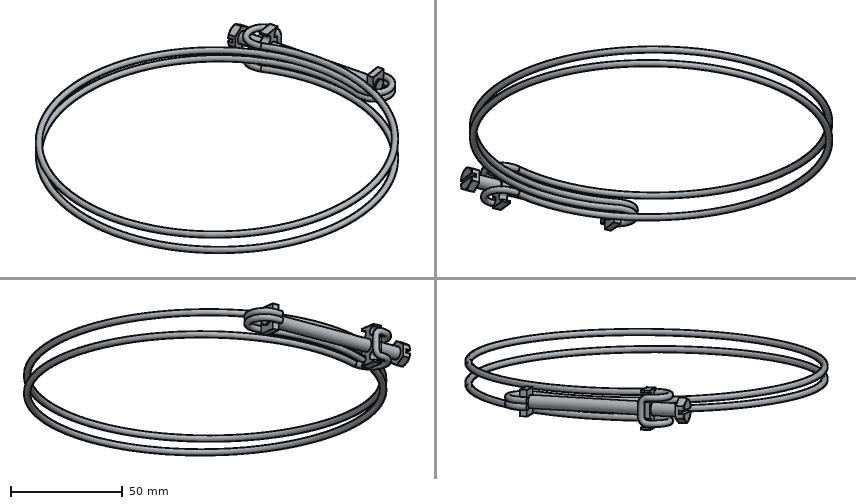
import cadquery as cq
import math


wire_radius = 1.51
coil_diameter = 163.0
overall_depth = 173.5
coil_radius = coil_diameter / 2 - wire_radius
joint_x = 26.0
joint_y = math.sqrt(coil_radius**2 - joint_x**2)
joint_angle = math.degrees(math.atan2(joint_y, joint_x))
outer_wire_z = 5.9
inner_wire_z = wire_radius

hook_top_y = overall_depth - coil_diameter / 2 - wire_radius
elbow_radius = 7.0
elbow_start_x = joint_x + elbow_radius * joint_x / coil_radius
hook_bottom_y = joint_y - elbow_radius * (1 - joint_y / coil_radius)
hook_radius = (hook_top_y - hook_bottom_y) / 2
hook_middle_y = (hook_top_y + hook_bottom_y) / 2
left_hook_x = -30.0
right_hook_x = 30.2
right_wire_end_x = 26.7
bar_bend_radius = 3.0
bar_half_length = outer_wire_z - bar_bend_radius

screw_y = 84.8
screw_diameter = 6.0
screw_end_x = 31.2
head_left_x = -47.0
head_height = 4.0
head_across_flats = 10.0
slot_width = 1.5
slot_depth = 2.5
head_chamfer_angle = 30

plate_length = 8.7
plate_middle_y = 85.2
left_plate_x = -30.7
left_plate_thickness = 4.2
left_plate_height = 18.0
notch_width = 4.2
notch_depth = 2.8
right_plate_x = 27.2
right_plate_thickness = 3.3
right_plate_height = 12.1


def swept_wire(path, first_edge):
    """Round wire swept along a path, starting on the path's first edge."""
    start_plane = cq.Plane(origin=first_edge.startPoint(), normal=first_edge.tangentAt(0))
    return cq.Workplane(start_plane).circle(wire_radius).sweep(cq.Workplane(obj=path))


def hook_edges(centre_x, z, side):
    """Elbow, straight and half circle from the coil to the screw; side is -1 for left, 1 for right."""
    half_turn = math.radians(90 - joint_angle) / 2
    elbow = cq.Edge.makeThreePointArc(
        cq.Vector(side * joint_x, joint_y, z),
        cq.Vector(
            side * (elbow_start_x - elbow_radius * math.sin(half_turn)),
            hook_bottom_y + elbow_radius * (1 - math.cos(half_turn)),
            z,
        ),
        cq.Vector(side * elbow_start_x, hook_bottom_y, z),
    )
    arc = cq.Edge.makeThreePointArc(
        cq.Vector(centre_x, hook_bottom_y, z),
        cq.Vector(centre_x + side * hook_radius, hook_middle_y, z),
        cq.Vector(centre_x, hook_top_y, z),
    )
    return [elbow, cq.Edge.makeLine(elbow.endPoint(), arc.startPoint()), arc]


def bar_bend(level):
    """Quarter bend from a left hook into the cross bar; level is 1 for the upper hook, -1 for the lower."""
    bend_offset = bar_bend_radius * math.sin(math.radians(45))
    return cq.Edge.makeThreePointArc(
        cq.Vector(left_hook_x, hook_top_y, level * outer_wire_z),
        cq.Vector(left_hook_x + bend_offset, hook_top_y, level * (bar_half_length + bend_offset)),
        cq.Vector(left_hook_x + bar_bend_radius, hook_top_y, level * bar_half_length),
    )


def make_loop():
    """Left hook: one wire that hooks back at both levels and crosses over on top of the left plate."""
    upper_hook = hook_edges(left_hook_x, outer_wire_z, -1)
    lower_hook = hook_edges(left_hook_x, -outer_wire_z, -1)
    upper_bend = bar_bend(1)
    lower_bend = bar_bend(-1)
    cross_bar = cq.Edge.makeLine(upper_bend.endPoint(), lower_bend.endPoint())
    path = cq.Wire.assembleEdges([*upper_hook, upper_bend, cross_bar, lower_bend, *reversed(lower_hook)])
    return swept_wire(path, upper_hook[0])


def make_coil_turn():
    """Helical turn that climbs from the right joint past a full turn to the left joint."""
    sweep_angle = 360 + 180 - 2 * joint_angle
    rise = outer_wire_z - inner_wire_z
    helix = cq.Wire.makeHelix(rise * 360 / sweep_angle, rise, coil_radius)
    profile = cq.Workplane("XZ").center(coil_radius, 0).circle(wire_radius)
    turn = profile.sweep(cq.Workplane(obj=helix), isFrenet=True)
    return turn.rotate((0, 0, 0), (0, 0, 1), joint_angle).translate((0, 0, inner_wire_z))


def make_right_hook():
    """Hook that ends flush above the right plate."""
    hook = hook_edges(right_hook_x, inner_wire_z, 1)
    wire_end = cq.Vector(right_wire_end_x, hook_top_y, inner_wire_z)
    path = cq.Wire.assembleEdges([*hook, cq.Edge.makeLine(hook[-1].endPoint(), wire_end)])
    return swept_wire(path, hook[0])


def make_wire(level):
    """Coil turn with its right hook; level is 1 for the upper wire, -1 for its mirror image below."""
    wire = make_coil_turn().union(make_right_hook())
    return wire if level > 0 else wire.mirror("XY")


def make_screw():
    """Slotted hexagon-head screw whose head is coned back from its slotted face."""
    head = (
        cq.Workplane("YZ", origin=(head_left_x, screw_y, 0))
        .polygon(6, head_across_flats, circumscribed=True)
        .extrude(head_height)
    )
    chamfer_cone = (
        cq.Workplane("YZ", origin=(head_left_x, screw_y, 0))
        .circle(head_across_flats / 2)
        .extrude(head_height, taper=head_chamfer_angle - 90)
    )
    head = head.intersect(chamfer_cone)
    shank = (
        cq.Workplane("YZ", origin=(head_left_x + head_height, screw_y, 0))
        .circle(screw_diameter / 2)
        .extrude(screw_end_x - head_left_x - head_height)
    )
    slot = cq.Workplane().box(2 * slot_depth, 2 * head_across_flats, slot_width)
    return head.union(shank).cut(slot.translate((head_left_x, screw_y, 0)))


def make_plate(left_x, thickness, height):
    """Upright plate with a clearance-free hole for the screw."""
    outline = cq.Workplane("YZ", origin=(left_x, plate_middle_y, 0)).rect(plate_length, height)
    hole = cq.Workplane("YZ", origin=(left_x, screw_y, 0)).circle(screw_diameter / 2).extrude(thickness)
    return outline.extrude(thickness).cut(hole)


def make_left_plate(loop):
    """Plate with round-bottomed notches at both wire levels, seated on the cross bar of the loop."""
    half_length = plate_length / 2
    notches = (
        cq.Workplane("YZ", origin=(left_plate_x, plate_middle_y, 0))
        .pushPoints([(y, z) for y in (-half_length, half_length) for z in (-outer_wire_z, outer_wire_z)])
        .slot2D(2 * notch_depth, notch_width)
        .extrude(left_plate_thickness)
    )
    return make_plate(left_plate_x, left_plate_thickness, left_plate_height).cut(notches).cut(loop)


def make_right_plate(wires):
    """Plain plate grooved along its +Y edge by the two wire ends that lie on it."""
    plate = make_plate(right_plate_x, right_plate_thickness, right_plate_height)
    for wire in wires:
        plate = plate.cut(wire)
    return plate


loop = make_loop()
wires = [make_wire(level) for level in (1, -1)]
screw = make_screw()
left_plate = make_left_plate(loop)
right_plate = make_right_plate(wires)

bodies = [loop, *wires, screw, left_plate, right_plate]
result = cq.Compound.makeCompound([solid for body in bodies for solid in body.solids().vals()])